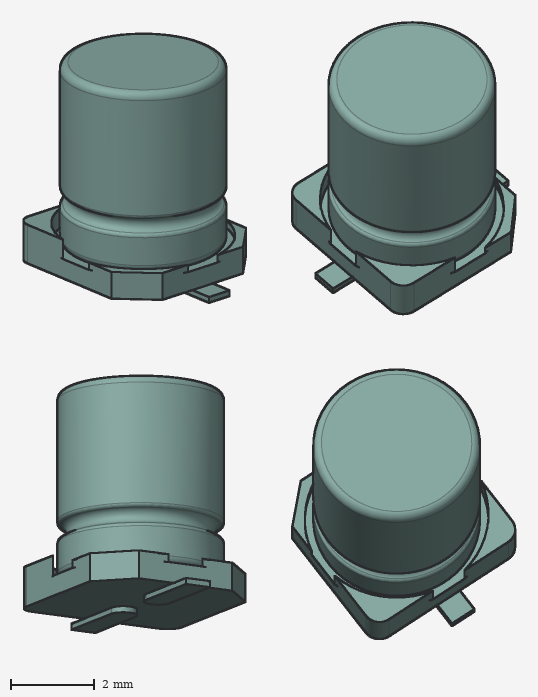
import cadquery as cq

total_height = 5.3
base_side = 4.3
lead_span = 5.5

lead_thickness = 0.15
lead_width = 0.66
lead_gap = 1.0

wall_height = 1.0
low_wall_height = 0.69
seat_height = 0.5
recess_diameter = 4.4
corner_radius = 0.4
corner_chamfer = 0.86

can_diameter = 4.0
can_edge_radius = 0.2

groove_center_z = 1.85
groove_radius = 0.2
groove_lip_radius = 0.1

base_bottom = lead_thickness
seat_z = base_bottom + seat_height
half_base = base_side / 2
can_radius = can_diameter / 2


def make_base():
    """Square base with two rounded -X corners, two chamfered +X corners and a round recess."""
    base = (
        cq.Workplane("XY")
        .workplane(offset=base_bottom)
        .box(base_side, base_side, wall_height, centered=(True, True, False))
    )
    base = base.edges("|Z and <X").fillet(corner_radius)
    base = base.edges("|Z and >X").chamfer(corner_chamfer)
    low_side_cut = (
        cq.Workplane("XY")
        .workplane(offset=base_bottom + low_wall_height)
        .box(half_base, base_side, wall_height, centered=(False, True, False))
    )
    recess = (
        cq.Workplane("XY")
        .workplane(offset=seat_z)
        .circle(recess_diameter / 2)
        .extrude(wall_height)
    )
    return base.cut(low_side_cut).cut(recess)


def make_can():
    """Can standing on the recess floor, with a round crimp groove and both ends rounded."""
    can = (
        cq.Workplane("XY")
        .workplane(offset=seat_z)
        .circle(can_radius)
        .extrude(total_height - seat_z)
    )
    can = can.faces("<Z or >Z").edges().fillet(can_edge_radius)
    groove = (
        cq.Workplane("XZ")
        .center(can_radius, groove_center_z)
        .circle(groove_radius)
        .revolve(360, (-can_radius, 0, 0), (-can_radius, 1, 0))
    )
    can = can.cut(groove)
    groove_lips = cq.selectors.BoxSelector(
        (-can_diameter, -can_diameter, groove_center_z - 2 * groove_radius),
        (can_diameter, can_diameter, groove_center_z + 2 * groove_radius),
    )
    return can.edges("%CIRCLE").edges(groove_lips).fillet(groove_lip_radius)


def make_lead(side):
    """Flat lead on the +X (side = 1) or -X (side = -1) end, with a round inner end."""
    inner_x = side * lead_gap / 2
    round_x = inner_x + side * lead_width / 2
    outer_x = side * lead_span / 2
    half_width = lead_width / 2
    return (
        cq.Workplane("XY")
        .moveTo(outer_x, half_width)
        .lineTo(round_x, half_width)
        .threePointArc((inner_x, 0), (round_x, -half_width))
        .lineTo(outer_x, -half_width)
        .close()
        .extrude(lead_thickness)
    )


result = make_base().union(make_can())
for side in (-1, 1):
    result = result.union(make_lead(side))